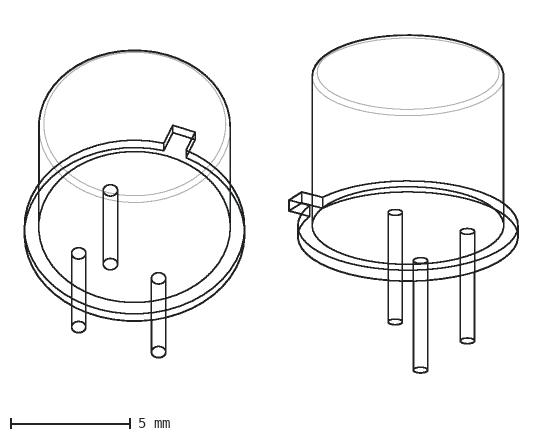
import cadquery as cq
import math

flange_diameter = 9.2
flange_thickness = 0.5
can_diameter = 8.0
can_height = 7.0
can_edge_radius = 0.2
tab_width = 1.0
tab_reach = 5.6
lead_diameter = 0.6
lead_length = 5.0
lead_circle_diameter = 5.08
lead_angles = (135, 225, 315)


def make_flange():
    disc = cq.Workplane("XY").circle(flange_diameter / 2).extrude(flange_thickness)
    tab = (
        cq.Workplane("XY")
        .center(0, tab_reach / 2)
        .rect(tab_width, tab_reach)
        .extrude(flange_thickness)
    )
    return disc.union(tab)


def make_can():
    return (
        cq.Workplane("XY")
        .workplane(offset=flange_thickness)
        .circle(can_diameter / 2)
        .extrude(can_height)
        .faces(">Z")
        .edges()
        .fillet(can_edge_radius)
    )


def make_leads():
    radius = lead_circle_diameter / 2
    centers = [
        (radius * math.cos(math.radians(angle)), radius * math.sin(math.radians(angle)))
        for angle in lead_angles
    ]
    return cq.Workplane("XY").pushPoints(centers).circle(lead_diameter / 2).extrude(-lead_length)


result = make_flange().union(make_can()).union(make_leads())